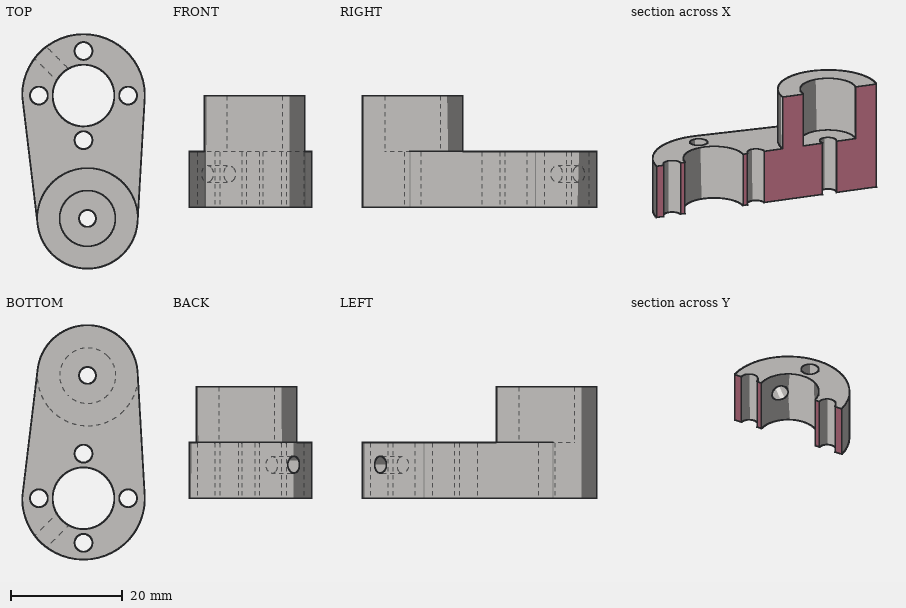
import cadquery as cq
import math

plate_thickness = 10.0
flange_diameter = 22.0
flange_radius = flange_diameter / 2
bore_diameter = 11.0

post_diameter = 18.0
post_radius = post_diameter / 2
post_height = 2 * plate_thickness
overall_length = 42.0
post_x = 0.7
post_y = -(overall_length - flange_radius - post_radius)
counterbore_diameter = 10.0
counterbore_depth = post_height / 2
post_hole_diameter = 3.0

bolt_hole_diameter = 3.15
bolt_circle_radius = 8.0
bolt_hole_count = 4

cross_hole_diameter = 3.0
cross_hole_height = 6.0
cross_hole_angle = 135.0


def post_tangent_point(side):
    """Point where a line from the flange's side quadrant (side = -1 or 1) touches the post."""
    start_x = side * flange_radius
    dx = start_x - post_x
    dy = -post_y
    angle = math.atan2(dy, dx) - side * math.acos(post_radius / math.hypot(dx, dy))
    return (post_x + post_radius * math.cos(angle), post_y + post_radius * math.sin(angle))


def make_plate():
    """Flange and tapering arm; its narrow end is a chord inside the post."""
    return (
        cq.Workplane("XY")
        .moveTo(-flange_radius, 0)
        .threePointArc((0, flange_radius), (flange_radius, 0))
        .lineTo(*post_tangent_point(1))
        .lineTo(*post_tangent_point(-1))
        .close()
        .extrude(plate_thickness)
    )


def make_cylinder(x, y, diameter, height, base=0):
    return cq.Workplane("XY", origin=(x, y, base)).circle(diameter / 2).extrude(height)


def make_cross_hole():
    angle = math.radians(cross_hole_angle)
    direction = cq.Vector(math.cos(angle), math.sin(angle), 0)
    start = cq.Vector(0, 0, cross_hole_height)
    return cq.Workplane(
        cq.Solid.makeCylinder(cross_hole_diameter / 2, flange_diameter, start, direction)
    )


body = make_plate().union(make_cylinder(post_x, post_y, post_diameter, post_height))

counterbore_floor = post_height - counterbore_depth
body = body.cut(
    make_cylinder(post_x, post_y, counterbore_diameter, counterbore_depth, counterbore_floor)
)
body = body.cut(make_cylinder(post_x, post_y, post_hole_diameter, post_height))

body = body.cut(make_cylinder(0, 0, bore_diameter, plate_thickness))
bolt_holes = (
    cq.Workplane("XY")
    .polarArray(bolt_circle_radius, 0, 360, bolt_hole_count)
    .circle(bolt_hole_diameter / 2)
    .extrude(plate_thickness)
)
body = body.cut(bolt_holes)

result = body.cut(make_cross_hole())